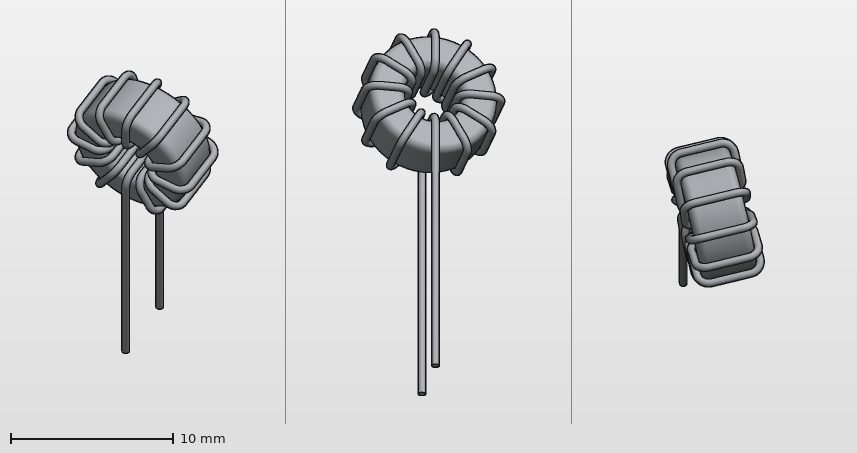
import cadquery as cq
import math


core_outer_radius = 8.0 / 2
core_inner_radius = 3.63 / 2
core_length = 3.47
core_fillet = 0.5

wire_diameter = 0.5
wire_radius = wire_diameter / 2
winding_gap = 0.02
turn_positions = 12
total_height = 23.45

center_offset = winding_gap + wire_radius
outer_leg_radius = core_outer_radius + center_offset
inner_leg_radius = core_inner_radius - center_offset
face_y = core_length / 2 + center_offset
bend_radius = core_fillet + center_offset
leg_end_y = face_y - bend_radius
pitch_angle = 360 / turn_positions
lead_angle = -90
lead_start_radius = (core_outer_radius + core_inner_radius) / 2
lead_end_z = outer_leg_radius + wire_radius - total_height


def polar_point(radius, angle, y):
    """Point at a radius and an angle (in degrees) around the Y axis."""
    theta = math.radians(angle)
    return cq.Vector(radius * math.cos(theta), y, radius * math.sin(theta))


def bend(leg, toward, side):
    """Quarter arc from a leg along Y into the straight run on a core face (side is +1 or -1)."""
    along_face = (toward - leg).normalized()
    along_leg = cq.Vector(0, side, 0)
    start = cq.Vector(leg.x, side * leg_end_y, leg.z)
    center = start + along_face * bend_radius
    middle = center + (along_leg - along_face) * (bend_radius * math.sqrt(0.5))
    end = center + along_leg * bend_radius
    return start, middle, end


def face_crossing(first_leg, second_leg, side):
    """Bend, straight run and bend that join two legs across a core face."""
    first_start, first_middle, first_end = bend(first_leg, second_leg, side)
    second_start, second_middle, second_end = bend(second_leg, first_leg, side)
    return [
        cq.Edge.makeThreePointArc(first_start, first_middle, first_end),
        cq.Edge.makeLine(first_end, second_end),
        cq.Edge.makeThreePointArc(second_end, second_middle, second_start),
    ]


def leg_run(position, from_side):
    """Straight run along Y, through the bore or along the outside of the core."""
    start = cq.Vector(position.x, from_side * leg_end_y, position.z)
    end = cq.Vector(position.x, -from_side * leg_end_y, position.z)
    return cq.Edge.makeLine(start, end)


def make_core():
    return (
        cq.Workplane("XZ", origin=(0, core_length / 2, 0))
        .circle(core_outer_radius)
        .circle(core_inner_radius)
        .extrude(core_length)
        .faces("<Y or >Y")
        .edges()
        .fillet(core_fillet)
    )


def winding_path():
    """Centre line from the foot of the back lead, around the core, to the foot of the front lead."""
    inner_angle = lead_angle + pitch_angle
    inner = polar_point(inner_leg_radius, inner_angle, 0)

    slant_end = polar_point(lead_start_radius, lead_angle, 0)
    start, middle, end = bend(inner, slant_end, 1)
    lead_start = slant_end + cq.Vector(0, face_y, 0)
    edges = [
        cq.Edge.makeLine(cq.Vector(0, face_y, lead_end_z), lead_start),
        cq.Edge.makeLine(lead_start, end),
        cq.Edge.makeThreePointArc(end, middle, start),
        leg_run(inner, 1),
    ]

    for turn in range(1, turn_positions):
        angle = lead_angle + turn * pitch_angle
        inner = polar_point(inner_leg_radius, angle, 0)
        outer = polar_point(outer_leg_radius, angle, 0)
        next_inner = polar_point(inner_leg_radius, angle + pitch_angle, 0)
        edges += face_crossing(inner, outer, -1)
        edges.append(leg_run(outer, -1))
        edges += face_crossing(outer, next_inner, 1)
        edges.append(leg_run(next_inner, 1))

    start, middle, end = bend(next_inner, cq.Vector(0, 0, lead_end_z), -1)
    edges += [
        cq.Edge.makeThreePointArc(start, middle, end),
        cq.Edge.makeLine(end, cq.Vector(0, -face_y, lead_end_z)),
    ]
    return cq.Wire.assembleEdges(edges)


def make_winding():
    return (
        cq.Workplane("XY", origin=(0, face_y, lead_end_z))
        .circle(wire_radius)
        .sweep(cq.Workplane(winding_path()), transition="right")
    )


core = make_core()
winding = make_winding()
result = cq.Compound.makeCompound([core.val(), winding.val()])